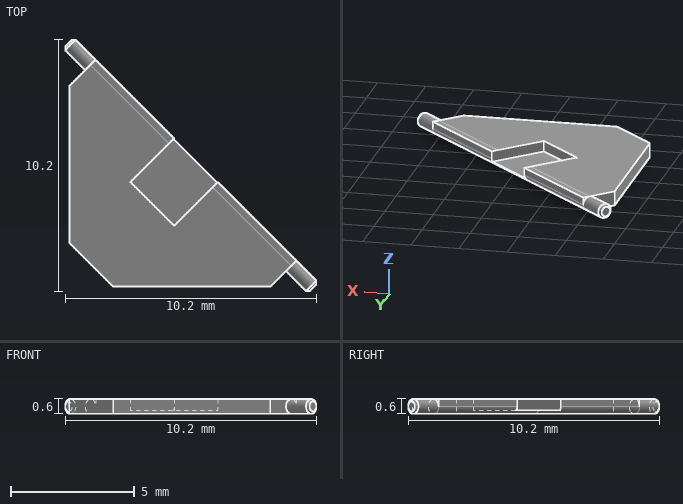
import cadquery as cq

thickness = 0.6
hinge_length = 11.5
plate_depth = 6.0
end_length = 1.5
foot_length = 2.5
pin_span = 14.0
pin_chamfer = 0.1
pocket_size = 2.5
pocket_depth = 0.45
hinge_angle = -45

pin_radius = thickness / 2
hinge_edge = pin_radius
foot_edge = hinge_edge - plate_depth
end_foot = hinge_edge - end_length


def make_plate():
    """Six-sided plate, hinge axis along X, with its lower hinge edge rounded."""
    outline = [
        (-hinge_length / 2, hinge_edge),
        (-hinge_length / 2, end_foot),
        (-foot_length / 2, foot_edge),
        (foot_length / 2, foot_edge),
        (hinge_length / 2, end_foot),
        (hinge_length / 2, hinge_edge),
    ]
    plate = cq.Workplane("XY").polyline(outline).close().extrude(thickness / 2, both=True)
    corner = (
        cq.Workplane("XY")
        .box(hinge_length, pin_radius, pin_radius, centered=(True, False, False))
        .translate((0, 0, -pin_radius))
    )
    return plate.cut(corner.cut(make_rod(hinge_length)))


def make_rod(length):
    """Round rod centred on the hinge axis."""
    return cq.Workplane("YZ").circle(pin_radius).extrude(length / 2, both=True)


def make_pins():
    """One rod through the plate whose chamfered ends form both pins."""
    return make_rod(pin_span).faces("<X or >X").chamfer(pin_chamfer)


def make_pocket():
    """Square pocket cut from the top face, open through the hinge edge."""
    return (
        cq.Workplane("XY")
        .box(pocket_size, pocket_size, pocket_depth, centered=(True, False, False))
        .translate((0, hinge_edge - pocket_size, thickness / 2 - pocket_depth))
    )


hinge_leaf = make_plate().union(make_pins()).cut(make_pocket())
result = hinge_leaf.rotate((0, 0, 0), (0, 0, 1), hinge_angle)